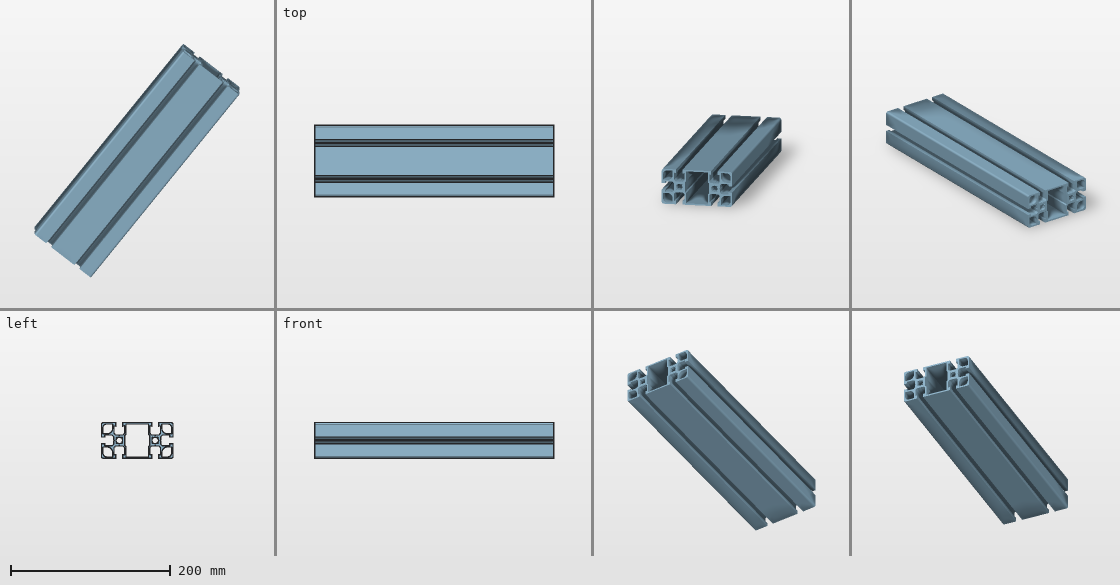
import cadquery as cq

length = 300.0
module = 45.0
width = 2 * module
height = module
half_module = module / 2
hub_offset = half_module
outer_corner_radius = 2.5

mouth_half = 4.15
undercut_half = 6.6
lip_tip_depth = 4.8
lip_root_depth = 4.3
hub_half = 7.0
slot_corner_chamfer = 2.0
floor_groove_half = 0.9
floor_groove_depth = 0.4

skin = 1.9
web = 1.9
chamber_inner = undercut_half + web
chamber_outer = half_module - skin
chamber_size = chamber_outer - chamber_inner
chamber_outer_radius = 5.0
chamber_inner_radius = 6.5

cavity_half_height = half_module - skin
cavity_half_width = hub_offset - undercut_half - web
cavity_mid_half_width = hub_offset - hub_half
cavity_mid_half_height = 6.7
cavity_step_rise = 1.0

core_radius = 3.9
notch_reach = 5.0
notch_width = 1.2


def section():
    """Sketch plane whose local axes are Y and Z, at the -X end."""
    return cq.Workplane("YZ").workplane(offset=-length / 2)


def make_blank():
    """Solid bar with rounded long edges."""
    return section().rect(width, height).extrude(length).edges("|X").fillet(outer_corner_radius)


def make_slot(hub_y, angle):
    """T-slot around one hub, opening along +Z before being turned about the hub axis."""
    right_side = [
        (mouth_half, half_module),
        (mouth_half, half_module - lip_tip_depth),
        (undercut_half, half_module - lip_root_depth),
        (undercut_half, hub_half + slot_corner_chamfer),
        (undercut_half - slot_corner_chamfer, hub_half),
        (floor_groove_half, hub_half),
    ]
    groove_bottom = (0, hub_half - floor_groove_depth)
    left_side = [(-y, z) for y, z in reversed(right_side)]
    slot = section().polyline(right_side + [groove_bottom] + left_side).close().extrude(length)
    return slot.rotate((0, 0, 0), (1, 0, 0), angle).translate((0, hub_y, 0))


def make_chamber(y_side, z_side):
    """Hollow corner chamber, rounded at its inner and outer corners."""
    center = (chamber_inner + chamber_outer) / 2
    chamber = section().center(hub_offset + center, center).rect(chamber_size, chamber_size).extrude(length)
    chamber = chamber.edges("|X").edges(">(0, 1, 1)").fillet(chamber_outer_radius)
    chamber = chamber.edges("|X").edges("<(0, 1, 1)").fillet(chamber_inner_radius)
    if y_side < 0:
        chamber = chamber.mirror("XZ")
    if z_side < 0:
        chamber = chamber.mirror("XY")
    return chamber


def make_cavity():
    """Tall central cavity that widens beside the hubs."""
    upper_right = [
        (cavity_mid_half_width, cavity_mid_half_height),
        (cavity_half_width, cavity_mid_half_height + cavity_step_rise),
        (cavity_half_width, cavity_half_height),
    ]
    upper_left = [(-y, z) for y, z in reversed(upper_right)]
    upper = upper_right + upper_left
    lower = [(-y, -z) for y, z in upper]
    return section().polyline(upper + lower).close().extrude(length)


def make_core_hole(hub_y):
    """Round core hole with notches on both diagonals."""
    hole = section().circle(core_radius).extrude(length)
    for angle in (45, -45):
        notch = section().rect(2 * notch_reach, notch_width).extrude(length)
        hole = hole.union(notch.rotate((0, 0, 0), (1, 0, 0), angle))
    return hole.translate((0, hub_y, 0))


result = make_blank().cut(make_cavity())
for side in (-1, 1):
    hub_y = side * hub_offset
    for slot_angle in (0, 180, -90 * side):
        result = result.cut(make_slot(hub_y, slot_angle))
    for z_side in (-1, 1):
        result = result.cut(make_chamber(side, z_side))
    result = result.cut(make_core_hole(hub_y))